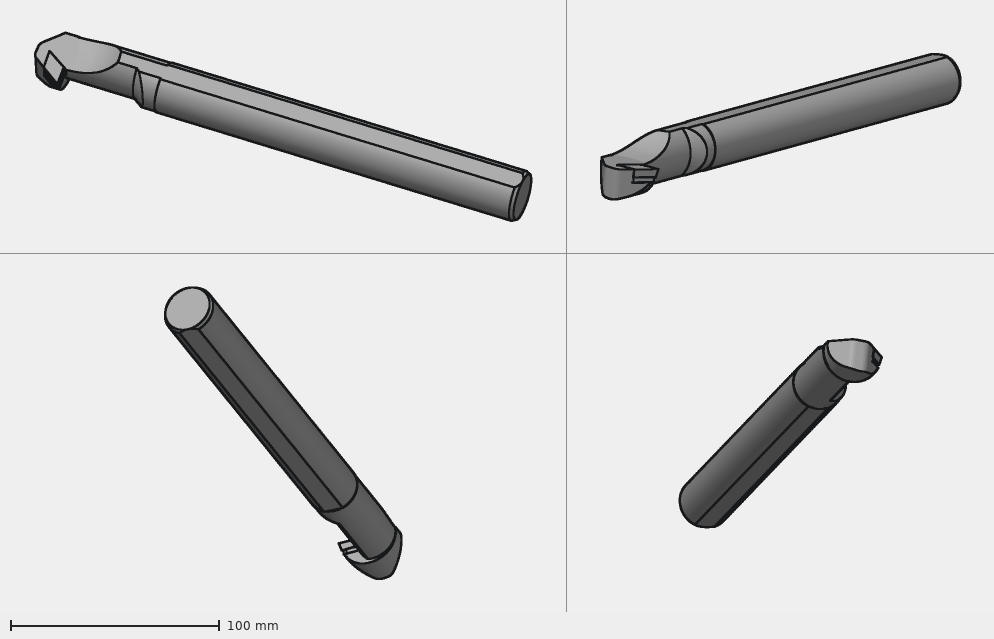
import cadquery as cq
import math

length = 250.0

shank_radius = 12.5
shank_start = 65.0
flat_height = 11.5
end_chamfer_length = 2.0
end_chamfer_depth = 1.0

neck_radius = 12.2
neck_start = 13.8
relief_radius = 15.5
relief_side = -7.8
relief_centre = relief_side + relief_radius
relief_end = 52.0
relief_run_out = 7.8
relief_rise = 5.0

face_tilt = 5.5
face_height = 1.5
head_end = 16.5
head_radius = 14.2
head_centre = -1.8
head_side = shank_radius
corner_radius = 4.5
nose_high = 2.2
nose_low = -5.2
shoulder_x = 9.5

scoop_start = 20.0
scoop_end = 42.5
scoop_rise = 10.5
scoop_sag = 2.5
scoop_clear_radius = 50.0
scoop_clear_height = 20.0

tip_x = 16.8
tip_y = -17.0 / math.cos(math.radians(face_tilt))
insert_front_x = 7.0
insert_apex = (6.0, -0.2)
insert_heel = (16.0, -6.8)
heel_notch_end = 18.5
plate_thickness = 4.2
plate_setback = 1.0
foot_thickness = 2.5
foot_setback = 1.8
front_setback_share = 0.5
heel_setback_share = 0.25

front_slope = (tip_y - nose_low) / tip_x
insert_front = (insert_front_x, nose_low + front_slope * insert_front_x)

margin = 50.0


def tilted_plane(depth=0.0):
    """Plane parallel to the top face of the head, at the given depth below it."""
    tilt = math.radians(face_tilt)
    normal = (0, -math.sin(tilt), math.cos(tilt))
    origin = (0, -depth * normal[1], face_height - depth * normal[2])
    return cq.Plane(origin=origin, xDir=(1, 0, 0), normal=normal)


def x_cylinder(radius, start, end, centre_y=0.0):
    return (
        cq.Workplane("YZ", origin=(start, centre_y, 0))
        .circle(radius)
        .extrude(end - start)
    )


def make_shank():
    tapered_start = length - end_chamfer_length
    return (
        cq.Workplane("XY")
        .moveTo(shank_start, 0)
        .lineTo(shank_start, shank_radius)
        .lineTo(tapered_start, shank_radius)
        .lineTo(length, shank_radius - end_chamfer_depth)
        .lineTo(length, 0)
        .close()
        .revolve(360, (0, 0, 0), (1, 0, 0))
    )


def make_neck():
    """Round neck, trimmed by the offset relief and its conical run-out."""
    run_out_end = relief_end + relief_run_out
    run_out_radius = relief_radius + relief_rise
    outer_radius = run_out_radius + relief_rise
    outer_end = run_out_end + relief_run_out
    envelope = (
        cq.Workplane("XY")
        .moveTo(neck_start, relief_centre)
        .lineTo(neck_start, relief_centre - relief_radius)
        .lineTo(relief_end, relief_centre - relief_radius)
        .lineTo(outer_end, relief_centre - outer_radius)
        .lineTo(shank_start + margin, relief_centre - outer_radius)
        .lineTo(shank_start + margin, relief_centre)
        .close()
        .revolve(360, (0, relief_centre, 0), (1, relief_centre, 0))
    )
    return x_cylinder(neck_radius, neck_start, shank_start).intersect(envelope)


def nose_edge_selector():
    """Selects edges centred on X = 0, halfway down the head prism."""
    middle = tilted_plane(margin / 2).origin
    reach = margin / 4
    low = (-face_height, middle.y - reach, middle.z - reach)
    high = (face_height, middle.y + reach, middle.z + reach)
    return cq.selectors.BoxSelector(low, high)


def make_head():
    """Faceted prism square to the tilted face, rounded underneath."""
    over_side = head_side + relief_rise
    prism = (
        cq.Workplane(tilted_plane())
        .moveTo(0, nose_high)
        .lineTo(shoulder_x, head_side)
        .lineTo(shoulder_x, over_side)
        .lineTo(head_end, over_side)
        .lineTo(head_end, nose_low + front_slope * head_end)
        .lineTo(0, nose_low)
        .close()
        .extrude(-margin)
    )
    prism = prism.edges(nose_edge_selector()).fillet(corner_radius)
    side_clip = (
        cq.Workplane("XY")
        .box(margin, margin, 2 * margin)
        .translate((margin / 2, head_side - margin / 2, 0))
    )
    return (
        prism.intersect(x_cylinder(head_radius, 0, head_end, head_centre))
        .intersect(side_clip)
    )


def make_scoop():
    """Clearance above the head face, rising to the shank along a concave arc."""
    middle = ((scoop_start + scoop_end) / 2, scoop_rise / 2 - scoop_sag)
    face = tilted_plane()
    profile_plane = cq.Plane(origin=face.origin, xDir=(1, 0, 0), normal=-face.yDir)
    return (
        cq.Workplane(profile_plane)
        .lineTo(scoop_start, 0)
        .threePointArc(middle, (scoop_end, scoop_rise))
        .lineTo(scoop_clear_radius, scoop_clear_height)
        .lineTo(0, scoop_clear_height)
        .close()
        .revolve(360, (0, 0, 0), (0, 1, 0))
    )


def insert_outline(workplane, setback):
    """Outline of the insert with its tip drawn back along the heel edge."""
    front_y = insert_front[1] + setback * front_setback_share
    return (
        workplane.moveTo(*insert_apex)
        .lineTo(insert_front[0], front_y)
        .lineTo(tip_x - setback * heel_setback_share, tip_y + setback)
        .lineTo(*insert_heel)
        .close()
    )


def make_insert():
    top = insert_outline(cq.Workplane(tilted_plane()), 0)
    plate = insert_outline(
        top.workplane(offset=-plate_thickness), plate_setback
    ).loft(ruled=True)
    foot = insert_outline(
        cq.Workplane(tilted_plane(plate_thickness)), foot_setback
    ).extrude(-foot_thickness)
    return plate.union(foot)


def make_insert_pocket():
    """Seat matching the insert, open toward the front and the tip."""
    depth = plate_thickness + foot_thickness
    return insert_outline(cq.Workplane(tilted_plane()), 0).extrude(-depth)


def make_heel_notch():
    """Nick in the corner of the neck that continues the seat wall behind the heel."""
    heel_x, heel_y = insert_heel
    wall_slope = (heel_y - insert_apex[1]) / (heel_x - insert_apex[0])
    notch_y = heel_y + wall_slope * (heel_notch_end - heel_x)
    return (
        cq.Workplane(tilted_plane())
        .moveTo(heel_x, heel_y)
        .lineTo(heel_notch_end, notch_y)
        .lineTo(heel_notch_end, tip_y)
        .lineTo(tip_x, tip_y)
        .close()
        .extrude(-plate_thickness)
    )


def make_flat_cutter(start, side):
    """Stock beyond a flat from start to the far end: side is 1 on top, -1 underneath."""
    return (
        cq.Workplane("XY")
        .box(length, margin, margin)
        .translate((start + length / 2, 0, side * (flat_height + margin / 2)))
    )


insert = make_insert()
holder = (
    make_shank()
    .union(make_neck())
    .union(make_head())
    .cut(make_scoop())
    .cut(make_flat_cutter(0, 1))
    .cut(make_flat_cutter(shank_start, -1))
    .cut(make_insert_pocket())
    .cut(make_heel_notch())
)

result = cq.Compound.makeCompound([holder.val(), insert.val()])